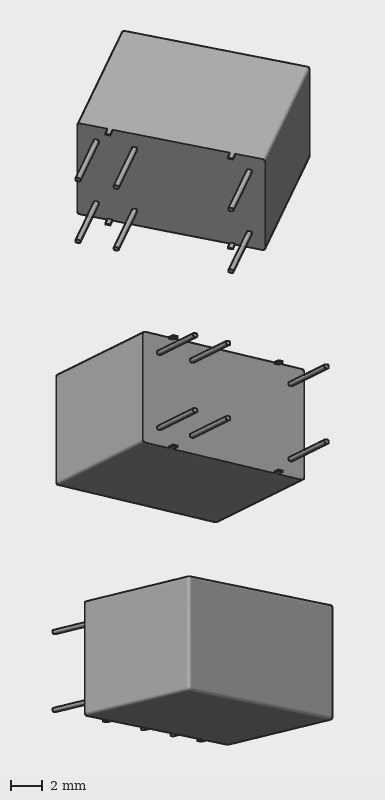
import cadquery as cq

overall_depth = 13.8
housing_width = 12.5
housing_depth = 9.8
housing_height = 7.5
edge_radius = 0.22

pin_pitch = 2.54
pin_length = overall_depth - housing_depth
pin_width = 0.36
pin_thickness = 0.29
first_pin_x = -4.97
pin_steps_x = (0, 1, 4)
row_spacing = 2 * pin_pitch

foot_width = 0.35
foot_length = 0.5
foot_thickness = 0.1
foot_spacing = 8.14


def make_housing():
    """Box with every edge rounded except those around the flat pin face."""
    box = cq.Workplane("XY").box(
        housing_width, housing_depth, housing_height, centered=(True, False, True)
    )
    return box.edges("not(<Y)").fillet(edge_radius)


def make_pins():
    """Pins growing from the pin face toward -Y."""
    centers = [
        (first_pin_x + step * pin_pitch, side * row_spacing / 2)
        for step in pin_steps_x
        for side in (-1, 1)
    ]
    return cq.Workplane("XZ").pushPoints(centers).slot2D(pin_width, pin_thickness).extrude(pin_length)


def make_feet():
    """Thin tabs growing from the long edges of the pin face toward -Y."""
    foot_z = (housing_height - foot_thickness) / 2
    return (
        cq.Workplane("XZ")
        .rarray(foot_spacing, 2 * foot_z, 2, 2)
        .rect(foot_width, foot_thickness)
        .extrude(foot_length)
    )


result = make_housing().union(make_pins()).union(make_feet())